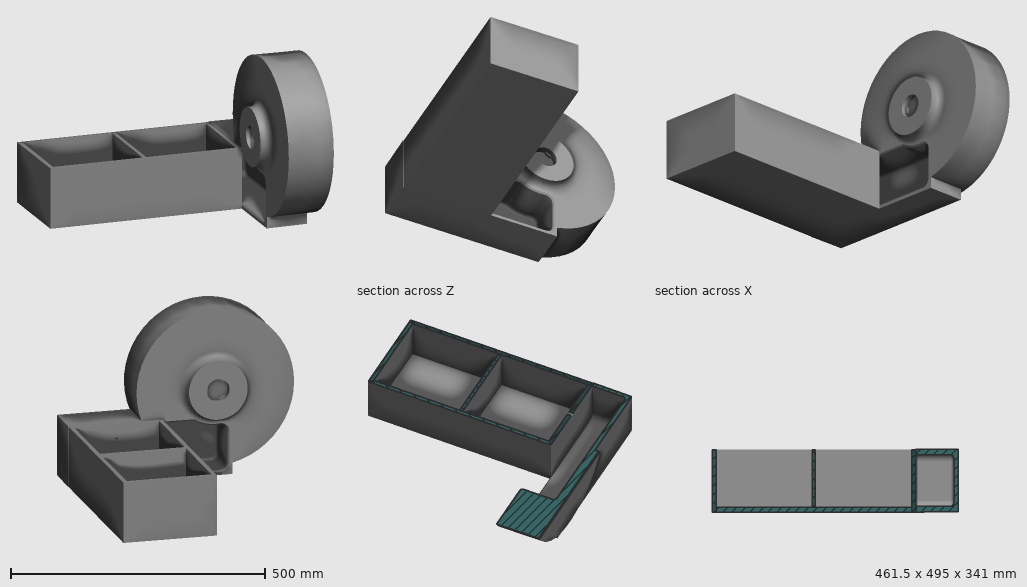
import cadquery as cq
import math


DRUM_RADIUS = 161.0
DRUM_DEPTH = 94.5
COVER_THICKNESS = 2.0
DRUM_CENTER_X = 300.5
DRUM_CENTER_Z = 180.0
MOLD_DRAFT = 0.5

FOOT_WIDTH = 335.5
FOOT_DEPTH = 84.0
FOOT_HEIGHT = 124.5
FOOT_WALL = 6.5
FOOT_BACK_WALL = 9.5
POCKET_CHAMFER = 3.0
POCKET_CORNER_RADIUS = 15.0
POCKET_FLOOR_FILLET = 6.0

HUB_RADIUS = 60.0
HUB_HEIGHT = 22.5
HUB_FLARE = 15.0
HUB_HOLE_RADIUS = 23.5
HUB_HOLE_DEPTH = 15.0
LUG_COUNT = 3
LUG_WIDTH = 14.0
LUG_REACH = 4.5
LUG_HEIGHT = 5.0

SELECTION_MARGIN = 0.05

BIN_WIDTH = 191.0
BIN_LENGTH = 400.5
BIN_HEIGHT = 123.8
BIN_INSET = 1.0
BOARD = 9.0
FLOOR_THICKNESS = 11.0
DIVIDER_THICKNESS = 7.5
DIVIDER_CENTER_Y = -200.5
SCREW_HOLE_DIAMETER = 6.0
SCREW_HOLE_DROP = 29.5

BIN_LEFT = BIN_INSET
BIN_RIGHT = BIN_LEFT + BIN_WIDTH
BIN_CENTER_X = BIN_LEFT + BIN_WIDTH / 2


def plane_facing_back(y=0):
    """Workplane at the given Y whose local x is Z, local y is X and normal is +Y."""
    return cq.Workplane("ZX", origin=(0, y, 0))


def drum_cylinder(radius, start_y, length, draft=0):
    """Cylinder about the drum axis, running toward +Y."""
    return (
        plane_facing_back(start_y)
        .center(DRUM_CENTER_Z, DRUM_CENTER_X)
        .circle(radius)
        .extrude(length, taper=draft)
    )


def make_pocket():
    """Rounded pocket volume whose top is hollowed around the flare of the hub."""
    margin = FOOT_WALL + POCKET_CHAMFER
    depth = FOOT_DEPTH - FOOT_BACK_WALL
    notch_radius = HUB_RADIUS + HUB_FLARE + POCKET_CHAMFER
    pocket = (
        plane_facing_back()
        .center(FOOT_HEIGHT / 2, FOOT_WIDTH / 2)
        .rect(FOOT_HEIGHT - 2 * margin, FOOT_WIDTH - 2 * margin)
        .extrude(depth)
        .cut(drum_cylinder(notch_radius, 0, depth))
    )
    pocket = pocket.faces(">X or <X").edges("|Y").fillet(POCKET_CORNER_RADIUS)
    return pocket.faces(">Y").edges().fillet(POCKET_FLOOR_FILLET)


def make_hub():
    """Flared hub with a blind hole that has small lugs on its wall."""
    flare_center = HUB_RADIUS + HUB_FLARE
    arc_middle = HUB_FLARE * math.sqrt(0.5)
    hub = (
        cq.Workplane("XY", origin=(DRUM_CENTER_X, 0, DRUM_CENTER_Z))
        .lineTo(flare_center, 0)
        .threePointArc(
            (flare_center - arc_middle, arc_middle - HUB_FLARE),
            (HUB_RADIUS, -HUB_FLARE),
        )
        .lineTo(HUB_RADIUS, -HUB_HEIGHT)
        .lineTo(0, -HUB_HEIGHT)
        .close()
        .revolve(360, (0, 0), (0, 1))
    )
    hole_floor_y = HUB_HOLE_DEPTH - HUB_HEIGHT
    hole = drum_cylinder(HUB_HOLE_RADIUS, -HUB_HEIGHT, HUB_HOLE_DEPTH)
    for index in range(LUG_COUNT):
        lug = (
            cq.Workplane("XY")
            .box(2 * LUG_REACH, LUG_HEIGHT, LUG_WIDTH)
            .translate((-HUB_HOLE_RADIUS, hole_floor_y - LUG_HEIGHT / 2, 0))
            .rotate((0, 0, 0), (0, 1, 0), index * 360 / LUG_COUNT)
            .translate((DRUM_CENTER_X, 0, DRUM_CENTER_Z))
        )
        hole = hole.cut(lug)
    return hub.cut(hole)


def make_housing():
    """Drum, foot and hub in one piece."""
    drum = drum_cylinder(DRUM_RADIUS, 0, DRUM_DEPTH - COVER_THICKNESS, MOLD_DRAFT)
    foot = (
        plane_facing_back()
        .center(FOOT_HEIGHT / 2, FOOT_WIDTH / 2)
        .rect(FOOT_HEIGHT, FOOT_WIDTH)
        .extrude(FOOT_DEPTH, taper=MOLD_DRAFT)
    )
    body = drum.union(foot).cut(make_pocket())
    pocket_rim = cq.selectors.BoxSelector(
        (FOOT_WALL, -SELECTION_MARGIN, FOOT_WALL),
        (FOOT_WIDTH - FOOT_WALL, SELECTION_MARGIN, FOOT_HEIGHT - FOOT_WALL),
    )
    body = body.edges(pocket_rim).chamfer(POCKET_CHAMFER)
    return body.union(make_hub())


def make_back_cover():
    """Thin disc closing the back of the drum."""
    front_y = DRUM_DEPTH - COVER_THICKNESS
    radius = DRUM_RADIUS - front_y * math.tan(math.radians(MOLD_DRAFT))
    return drum_cylinder(radius, front_y, COVER_THICKNESS)


def mitred_board(outer_start, outer_end, inner_end, inner_start):
    """One upright board of the bin with the given mitred plan outline."""
    outline = [outer_start, outer_end, inner_end, inner_start]
    return cq.Workplane("XY").polyline(outline).close().extrude(BIN_HEIGHT)


def make_side_boards():
    """Four mitred boards, with a screw hole through the back one."""
    outer = [(BIN_LEFT, 0), (BIN_RIGHT, 0), (BIN_RIGHT, -BIN_LENGTH), (BIN_LEFT, -BIN_LENGTH)]
    inner = [
        (BIN_LEFT + BOARD, -BOARD),
        (BIN_RIGHT - BOARD, -BOARD),
        (BIN_RIGHT - BOARD, BOARD - BIN_LENGTH),
        (BIN_LEFT + BOARD, BOARD - BIN_LENGTH),
    ]
    boards = []
    for index in range(len(outer)):
        following = (index + 1) % len(outer)
        boards.append(mitred_board(outer[index], outer[following], inner[following], inner[index]))
    screw_hole = (
        plane_facing_back(-BOARD)
        .center(BIN_HEIGHT - SCREW_HOLE_DROP, BIN_CENTER_X)
        .circle(SCREW_HOLE_DIAMETER / 2)
        .extrude(BOARD)
    )
    boards[0] = boards[0].cut(screw_hole)
    return boards


def make_floor_board():
    """Bottom of the bin, fitted between the side boards."""
    return (
        cq.Workplane("XY")
        .center(BIN_CENTER_X, -BIN_LENGTH / 2)
        .rect(BIN_WIDTH - 2 * BOARD, BIN_LENGTH - 2 * BOARD)
        .extrude(FLOOR_THICKNESS)
    )


def make_divider():
    """Cross board standing on the floor, flush with the rim."""
    return (
        cq.Workplane("XY", origin=(0, 0, FLOOR_THICKNESS))
        .center(BIN_CENTER_X, DIVIDER_CENTER_Y)
        .rect(BIN_WIDTH - 2 * BOARD, DIVIDER_THICKNESS)
        .extrude(BIN_HEIGHT - FLOOR_THICKNESS)
    )


housing = make_housing()
back_cover = make_back_cover()
side_boards = make_side_boards()
floor_board = make_floor_board()
divider = make_divider()

result = cq.Compound.makeCompound([
    housing.val(),
    back_cover.val(),
    *[board.val() for board in side_boards],
    floor_board.val(),
    divider.val(),
])